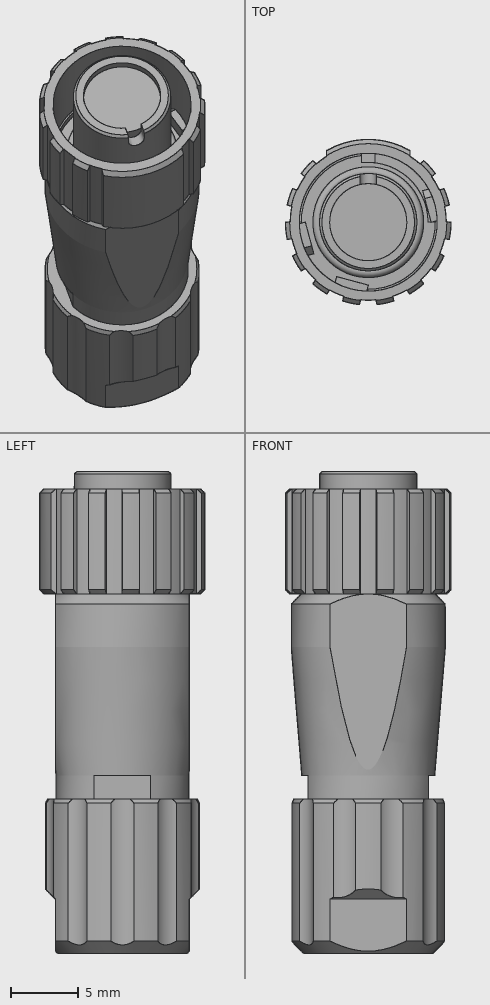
import cadquery as cq

total_height = 35.8
clamp_top = 11.5
taper_bottom = 13.2
taper_top = 22.75
shoulder_bottom = 25.95
ring_bottom = 26.7
ring_top = 34.5

body_radius = 5.73
neck_radius = 4.95
flat_distance = 4.98
neck_flat_distance = 4.48

clamp_bottom_chamfer = 0.93
clamp_top_chamfer_width = 0.18
clamp_top_chamfer_height = 0.32
flute_count = 10
flute_radius = 1.8
flute_depth = 0.3
wrench_flat_top = 4.05

ring_radius = 5.8
rib_radius = 6.15
rib_width = 1.3
rib_end_chamfer = 0.32
rib_pitch = 24
first_rib_angle = 138
rib_count = 13
wide_rib_width = 6.23
wide_rib_angle = 90
bore_radius = 5.12
bore_floor = 27.4

ramped_lug_angles = (15, 195)
plain_lug_angle = 255
lug_ramp = 0.6
lug_width = 2.45
lug_distance = 4.5
lug_top = 28.65
key_angle = 90
key_width = 1.05
key_distance = 4.45
step_top = 27.92
wide_step_radius = 4.45
wide_step_angle = 0
narrow_step_radius = 4.98
narrow_step_angles = (90, 270)

insert_radius = 3.6
insert_chamfer = 0.18
socket_radius = 2.85
socket_depth = 0.57
keyway_width = 1.2
keyway_depth = 1.43
seal_center_radius = 3.72
seal_section_radius = 0.4


def cylinder(radius, bottom, top):
    return cq.Workplane("XY").workplane(offset=bottom).circle(radius).extrude(top - bottom)


def revolve_profile(points):
    """Revolve (radius, height) points about the Z axis."""
    return cq.Workplane("XZ").polyline(points).close().revolve(360, (0, 0), (0, 1))


def outward_bar(width, start, end, bottom, top, angle, ramp=0):
    """Bar that runs outward between two distances from the axis, with an optional ramp on one side."""
    bar = cq.Workplane("XY").box(end - start, width, top - bottom, centered=(False, True, False))
    if ramp:
        bar = bar.edges(">Y and >Z").chamfer(ramp)
    return bar.translate((start, 0, bottom)).rotate((0, 0, 0), (0, 0, 1), angle)


def quarter_step(inner_radius, outer_radius, start_angle):
    """Quarter-turn step on the bore floor, counterclockwise from the start angle."""
    step = cylinder(outer_radius, bore_floor, step_top).cut(cylinder(inner_radius, bore_floor, step_top))
    quadrant = cq.Workplane("XY").box(outer_radius, outer_radius, total_height, centered=False)
    return step.intersect(quadrant).rotate((0, 0, 0), (0, 0, 1), start_angle)


def make_housing():
    """Neck, taper, grip and shoulder, with flats at front and back."""
    shoulder_radius = body_radius - (ring_bottom - shoulder_bottom)
    housing = revolve_profile([
        (0, taper_bottom),
        (neck_radius, taper_bottom),
        (body_radius, taper_top),
        (body_radius, shoulder_bottom),
        (shoulder_radius, ring_bottom),
        (0, ring_bottom),
    ])
    grip_flats = cq.Workplane("XY").box(
        2 * body_radius, 2 * flat_distance, total_height, centered=(True, True, False))
    neck_flats = cq.Workplane("XY").box(
        2 * neck_flat_distance, 2 * body_radius, total_height, centered=(True, True, False))
    neck = cylinder(neck_radius, clamp_top, taper_bottom).intersect(neck_flats)
    return housing.intersect(grip_flats).union(neck)


def make_clamping_nut():
    """Fluted nut with wrench flats at front and back of its lower end."""
    nut = revolve_profile([
        (0, 0),
        (body_radius - clamp_bottom_chamfer, 0),
        (body_radius, clamp_bottom_chamfer),
        (body_radius, clamp_top - clamp_top_chamfer_height),
        (body_radius - clamp_top_chamfer_width, clamp_top),
        (0, clamp_top),
    ])
    flutes = (
        cq.Workplane("XY")
        .polarArray(body_radius - flute_depth + flute_radius, 0, 360, flute_count)
        .circle(flute_radius)
        .extrude(clamp_top)
    )
    nut = nut.cut(flutes)

    flat_depth = body_radius - flat_distance
    flat_cut = (
        cq.Workplane("YZ")
        .polyline([
            (flat_distance, 0),
            (flat_distance, wrench_flat_top),
            (body_radius, wrench_flat_top + flat_depth),
            (body_radius, 0),
        ])
        .close()
        .extrude(body_radius, both=True)
    )
    return nut.cut(flat_cut).cut(flat_cut.mirror("XZ"))


def make_coupling_ring():
    """Ribbed ring with an open bore, bayonet lugs, a key and low steps."""
    bar_reach = 2 * rib_radius
    ribs = outward_bar(wide_rib_width, 0, bar_reach, ring_bottom, ring_top, wide_rib_angle)
    for index in range(rib_count):
        angle = first_rib_angle + index * rib_pitch
        ribs = ribs.union(outward_bar(rib_width, 0, bar_reach, ring_bottom, ring_top, angle))
    rib_end_radius = rib_radius - rib_end_chamfer
    envelope = revolve_profile([
        (0, ring_bottom),
        (rib_end_radius, ring_bottom),
        (rib_radius, ring_bottom + rib_end_chamfer),
        (rib_radius, ring_top - rib_end_chamfer),
        (rib_end_radius, ring_top),
        (0, ring_top),
    ])
    ring = cylinder(ring_radius, ring_bottom, ring_top).union(ribs.intersect(envelope))
    ring = ring.cut(cylinder(bore_radius, bore_floor, ring_top))

    wall_radius = (bore_radius + ring_radius) / 2
    lugs = outward_bar(key_width, key_distance, wall_radius, bore_floor, lug_top, key_angle)
    lugs = lugs.union(
        outward_bar(lug_width, lug_distance, rib_radius, bore_floor, lug_top, plain_lug_angle))
    for angle in ramped_lug_angles:
        lugs = lugs.union(
            outward_bar(lug_width, lug_distance, rib_radius, bore_floor, lug_top, angle, lug_ramp))
    ring = ring.union(lugs.intersect(cylinder(wall_radius, bore_floor, lug_top)))

    ring = ring.union(quarter_step(wide_step_radius, wall_radius, wide_step_angle))
    for angle in narrow_step_angles:
        ring = ring.union(quarter_step(narrow_step_radius, wall_radius, angle))
    return ring


def make_insert():
    """Contact insert with a shallow socket, a round-bottomed keyway and a sealing ring."""
    insert = cylinder(insert_radius, ring_bottom, total_height).faces(">Z").chamfer(insert_chamfer)
    insert = insert.cut(cylinder(socket_radius, total_height - socket_depth, total_height))

    keyway_radius = keyway_width / 2
    keyway_axis_height = total_height - keyway_depth + keyway_radius
    keyway = (
        cq.Workplane("XZ")
        .moveTo(-keyway_radius, total_height)
        .lineTo(-keyway_radius, keyway_axis_height)
        .threePointArc((0, total_height - keyway_depth), (keyway_radius, keyway_axis_height))
        .lineTo(keyway_radius, total_height)
        .close()
        .extrude(-insert_radius)
    )
    core = cylinder(socket_radius, ring_bottom, total_height)
    insert = insert.cut(keyway.cut(core))

    seal = (
        cq.Workplane("XZ")
        .center(seal_center_radius, bore_floor + seal_section_radius)
        .circle(seal_section_radius)
        .revolve(360, (-seal_center_radius, 0), (-seal_center_radius, 1))
    )
    return insert.union(seal)


result = make_clamping_nut().union(make_housing()).union(make_coupling_ring()).union(make_insert())